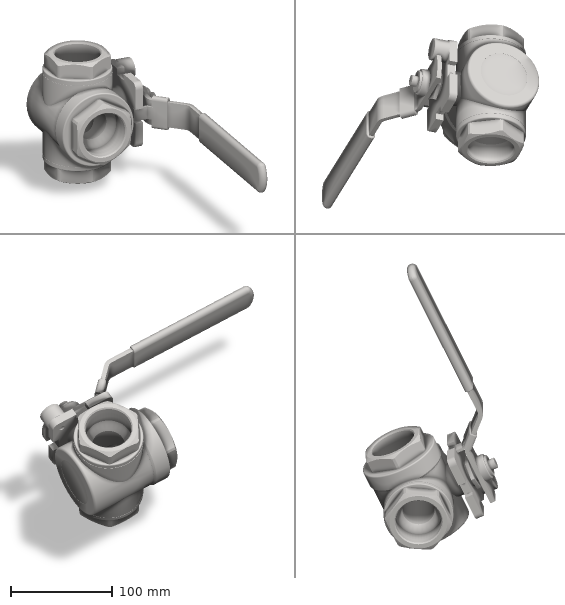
import cadquery as cq
import math


overall_length = 270.0
overall_height = 130.0

body_radius = 37.5
body_left_x = -40.0
body_edge_radius = 2.5
cap_recess_radius = 24.3
cap_recess_depth = 0.3

collar_diameter = 78.0
collar_radius = collar_diameter / 2
collar_left_x = 29.5
collar_right_x = 48.0
collar_edge_radius = 1.4
collar_chamfer_height = 1.4
collar_chamfer_length = 2.2
hex_right_x = 62.6

port_radius = 34.5
port_half_length = 49.1
port_edge_radius = 1.0
port_groove_z = 44.0
port_groove_width = 0.8
port_groove_depth = 0.3
hex_top_z = overall_height / 2

hex_flats = 58.9
hex_turned_radius = 33.2
hex_chamfer_length = 2.7
hex_face_radius = 28.5
bore_radius = 23.0
bore_mouth_radius = 24.0
bore_mouth_depth = 1.4
bore_depth = 21.5
bore_cone_length = 8.0
passage_radius = 16.0

neck_radius = 17.0
neck_fillet_radius = 2.0
plate_bottom_y = 47.0
plate_thickness = 8.0
plate_half_size = 35.0
plate_corner_radius = 6.5
notch_width = 14.8
notch_depth = 6.8
plate_top_y = plate_bottom_y + plate_thickness

boss_radius = 11.0
boss_x = -24.5
boss_z = 24.5
boss_top_y = 70.5
boss_hole_radius = 3.0
boss_edge_radius = 0.8

base_washer_radius = 13.5
hex_washer_flats = 29.7
hex_washer_bottom_y = 57.2
hex_washer_top_y = 60.8
gland_radius = 10.0
nut_radius = 13.2
nut_top_y = 75.5
nut_edge_chamfer = 0.8
nut_crown_radius = 11.0
nut_crown_top_y = 77.8
stem_radius = 5.5
stem_top_y = 84.0

lever_thickness = 4.5
lever_half_width = 13.5
lever_end_radius = 35.0
lever_low_y = 65.5
lever_high_y = 95.3
lever_low_bend_x = 29.5
lever_high_bend_x = lever_low_bend_x + lever_high_y - lever_low_y
lever_inner_bend_radius = 7.3
lever_outer_bend_radius = lever_inner_bend_radius + lever_thickness
lever_bend_angle = 45

grip_left_x = 88.0
grip_end_x = body_left_x + overall_length
grip_width = 32.0
grip_half_width = grip_width / 2
grip_thickness = 9.0
grip_end_bulge = 6.2
grip_corner_radius = 4.9
grip_edge_radius = 4.3
grip_mouth_chamfer = 0.5

slider_length = 16.2
slider_thickness = 8.0
slider_half_width = 17.0
slider_edge_radius = 3.2
slider_x = 37.3
slider_y = lever_low_y + slider_x - lever_low_bend_x
tab_thickness = 3.0
tab_width = 13.5
tab_bend_y = 61.5
tab_left_x = plate_half_size - notch_depth


def cylinder_x(radius, x0, x1):
    return cq.Workplane("YZ", origin=(x0, 0, 0)).circle(radius).extrude(x1 - x0)


def plane_y(y):
    """Plane facing +Y, with local x along +X and local y along -Z."""
    return cq.Workplane(cq.Plane(origin=(0, y, 0), xDir=(1, 0, 0), normal=(0, 1, 0)))


def cylinder_y(radius, y0, y1, x=0, z=0):
    return plane_y(y0).center(x, -z).circle(radius).extrude(y1 - y0)


def across_corners(flats):
    """Corner-to-corner size of a hexagon from its size across flats."""
    return flats / math.cos(math.pi / 6)


def along_x(shape):
    """Turn a shape built along +Z so that it points along +X."""
    return shape.rotate((0, 0, 0), (0, 1, 0), 90)


def revolve_about_z(profile):
    """Solid from a closed profile of (radius, z) points."""
    return cq.Workplane("XZ").polyline(profile).close().revolve(360, (0, 0), (0, 1))


def hex_end(end):
    """Hexagon from the origin up to z = end, turned down at its corners, two corners on X."""
    hexagon = cq.Workplane("XY").polygon(6, across_corners(hex_flats)).extrude(end)
    profile = [
        (0, 0),
        (hex_turned_radius, 0),
        (hex_turned_radius, end - hex_chamfer_length),
        (hex_face_radius, end),
        (0, end),
    ]
    return hexagon.intersect(revolve_about_z(profile))


def end_bore(end):
    """Bore entering at z = end, tapering to the central passage at the origin."""
    shoulder = end - bore_depth
    profile = [
        (0, 0),
        (passage_radius, 0),
        (passage_radius, shoulder - bore_cone_length),
        (bore_radius, shoulder),
        (bore_radius, end - bore_mouth_depth),
        (bore_mouth_radius, end),
        (0, end),
    ]
    return revolve_about_z(profile)


def mirrored_in_z(shape):
    return shape.union(shape.mirror("XY"))


def valve_body():
    run = cylinder_x(body_radius, body_left_x, collar_right_x).faces("<X").edges().fillet(body_edge_radius)
    recess_floor = body_left_x + cap_recess_depth
    run = run.cut(cylinder_x(cap_recess_radius, body_left_x, recess_floor))

    collar = cylinder_x(collar_radius, collar_left_x, collar_right_x)
    collar = collar.faces("<X").chamfer(collar_chamfer_length, collar_chamfer_height)
    collar = collar.faces(">X").edges().fillet(collar_edge_radius)

    ports = cq.Workplane("XY").circle(port_radius).extrude(port_half_length, both=True)
    ports = ports.faces("<Z or >Z").edges().fillet(port_edge_radius)
    groove = (
        cq.Workplane("XY", origin=(0, 0, port_groove_z - port_groove_width / 2))
        .circle(port_radius)
        .circle(port_radius - port_groove_depth)
        .extrude(port_groove_width)
    )
    ports = ports.cut(mirrored_in_z(groove))

    body = run.union(collar).union(ports)
    body = body.union(mirrored_in_z(hex_end(hex_top_z))).union(along_x(hex_end(hex_right_x)))
    body = body.union(stem_neck())
    return body.cut(mirrored_in_z(end_bore(hex_top_z))).cut(along_x(end_bore(hex_right_x)))


def stem_neck():
    """Neck from the valve centre to the plate, flared by a fillet where it meets the plate."""
    flare_radius = neck_radius + neck_fillet_radius
    flare_start_y = plate_bottom_y - neck_fillet_radius
    return (
        cq.Workplane("XY")
        .lineTo(neck_radius, 0)
        .lineTo(neck_radius, flare_start_y)
        .radiusArc((flare_radius, plate_bottom_y), neck_fillet_radius)
        .lineTo(0, plate_bottom_y)
        .close()
        .revolve(360, (0, 0), (0, 1))
    )


def mounting_plate():
    side = 2 * plate_half_size
    plate = plane_y(plate_bottom_y).rect(side, side).extrude(plate_thickness)
    plate = plate.edges("|Y").fillet(plate_corner_radius)
    notches = (
        plane_y(plate_bottom_y)
        .polarArray(plate_half_size, 0, 360, 4)
        .rect(2 * notch_depth, notch_width)
        .extrude(plate_thickness)
    )
    boss = cylinder_y(boss_radius, plate_top_y, boss_top_y, boss_x, boss_z)
    boss = boss.faces(">Y").edges().fillet(boss_edge_radius)
    hole = cylinder_y(boss_hole_radius, plate_bottom_y, plate_top_y, boss_x, boss_z)
    return plate.cut(notches).cut(hole).union(boss)


def stem_stack():
    nut = cylinder_y(nut_radius, lever_low_y, nut_top_y).faces(">Y").chamfer(nut_edge_chamfer)
    hex_washer = (
        plane_y(hex_washer_bottom_y)
        .transformed(rotate=(0, 0, 30))
        .polygon(6, across_corners(hex_washer_flats))
        .extrude(hex_washer_top_y - hex_washer_bottom_y)
    )
    return (
        cylinder_y(base_washer_radius, plate_top_y, hex_washer_bottom_y)
        .union(hex_washer)
        .union(cylinder_y(gland_radius, hex_washer_top_y, lever_low_y))
        .union(nut)
        .union(cylinder_y(nut_crown_radius, nut_top_y, nut_crown_top_y))
        .union(cylinder_y(stem_radius, nut_crown_top_y, stem_top_y))
    )


def lever():
    """Bent strip whose low end is an arc about the stem."""
    half = lever_thickness / 2
    corner_shift = half * math.tan(math.radians(lever_bend_angle / 2))
    low_outer = (lever_low_bend_x + corner_shift, lever_low_y - half)
    low_inner = (lever_low_bend_x - corner_shift, lever_low_y + half)
    high_inner = (lever_high_bend_x + corner_shift, lever_high_y - half)
    high_outer = (lever_high_bend_x - corner_shift, lever_high_y + half)
    inside_grip_x = grip_end_x - 2 * grip_end_bulge
    outline = [
        (-lever_end_radius, lever_low_y - half),
        low_outer,
        high_inner,
        (inside_grip_x, lever_high_y - half),
        (inside_grip_x, lever_high_y + half),
        high_outer,
        low_inner,
        (-lever_end_radius, lever_low_y + half),
    ]
    strip = cq.Workplane("XY").polyline(outline).close().extrude(lever_half_width, both=True)
    bend_radii = (
        (low_outer, lever_outer_bend_radius),
        (low_inner, lever_inner_bend_radius),
        (high_inner, lever_inner_bend_radius),
        (high_outer, lever_outer_bend_radius),
    )
    for corner, radius in bend_radii:
        strip = strip.edges(cq.selectors.NearestToPointSelector((*corner, 0))).fillet(radius)

    low_end = cylinder_y(lever_end_radius, lever_low_y - half, lever_low_y + half)
    beyond_stem = plane_y(0).center(-lever_end_radius / 2, 0)
    beyond_stem = beyond_stem.rect(lever_end_radius, 2 * lever_end_radius).extrude(lever_high_y)
    return strip.cut(beyond_stem.cut(low_end))


def grip():
    shoulder_x = grip_end_x - grip_end_bulge
    sleeve = (
        plane_y(lever_high_y - grip_thickness / 2)
        .moveTo(grip_left_x, -grip_half_width)
        .lineTo(shoulder_x, -grip_half_width)
        .threePointArc((grip_end_x, 0), (shoulder_x, grip_half_width))
        .lineTo(grip_left_x, grip_half_width)
        .close()
        .extrude(grip_thickness)
    )
    sleeve = sleeve.edges("|Y and (not <X)").fillet(grip_corner_radius)
    sleeve = sleeve.faces("<Y or >Y").edges("not <X").fillet(grip_edge_radius)
    return sleeve.faces("<X").chamfer(grip_mouth_chamfer)


def locking_slider():
    slope = cq.Plane(origin=(slider_x, slider_y, 0), xDir=(1, 1, 0), normal=(0, 0, 1))
    sleeve = cq.Workplane(slope).rect(slider_length, slider_thickness).extrude(slider_half_width, both=True)
    slope_edges = cq.selectors.ParallelDirSelector(cq.Vector(1, 1, 0))
    sleeve = sleeve.edges(slope_edges).fillet(slider_edge_radius)

    slant = 2 * tab_thickness
    tab = (
        cq.Workplane("XY")
        .moveTo(tab_left_x, plate_bottom_y)
        .lineTo(tab_left_x + tab_thickness, plate_bottom_y)
        .lineTo(tab_left_x + tab_thickness, tab_bend_y)
        .line(slant, slant)
        .line(-tab_thickness, tab_thickness)
        .lineTo(tab_left_x, tab_bend_y + tab_thickness / 2)
        .close()
        .extrude(tab_width / 2, both=True)
    )
    return sleeve.union(tab)


result = (
    valve_body()
    .union(mounting_plate())
    .union(stem_stack())
    .union(lever())
    .union(grip())
    .union(locking_slider())
)